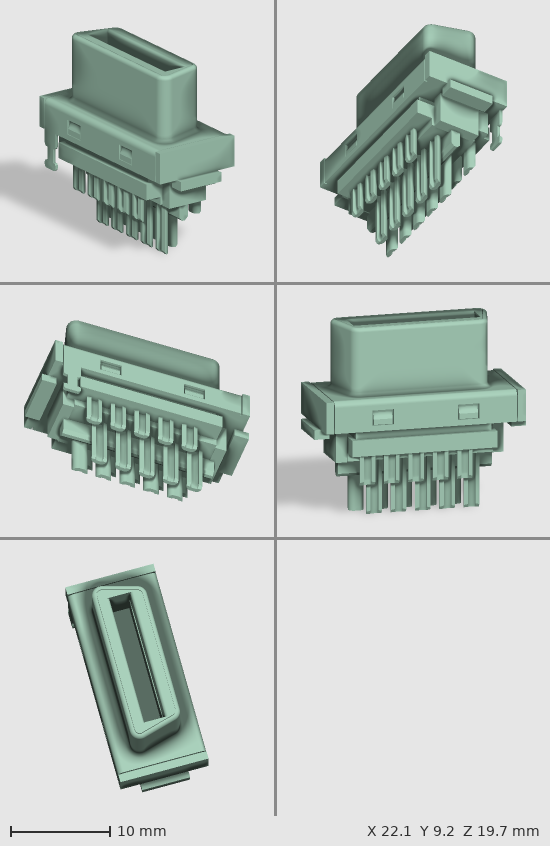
import cadquery as cq
import math

total_height = 19.7
flange_top = 12.7
flange_bottom = 9.41
plate_top = 8.48
plate_bottom = 6.8
base_bottom = 5.94
leg_bottom = 5.8
rail_bottom = 3.88
short_pin_bottom = 3.52
long_pin_bottom = 0.0

overall_length = 22.15
flange_width = 9.2
shell_length = 19.05
shell_thickness = 0.3
shell_edge_radius = 0.6
core_length = 19.27
core_width = flange_width - 2 * shell_thickness
core_edge_radius = 0.4
end_plate_thickness = 0.8

hood_corner_radius = 1.0
hood_front_half_length = 7.15
hood_back_half_length = 6.2
hood_half_width = 1.73
hood_edge_radius = 0.4
hood_lip = 0.05
hood_center_y = 0.02
groove_width = 0.07
groove_depth = 0.22
slot_length = 13.33
slot_width = 2.2
slot_edge_radius = 0.3
ledge_depth = 0.09
ledge_top = (flange_top + total_height) / 2

window_spacing = 8.95
window_length = 2.24
window_top = 11.58
window_bottom = 10.01
tooth_length = 1.97
tooth_top = 11.3
tooth_ramp_end = 10.63
tooth_bottom = 10.08
tooth_projection = 0.29

neck_length = 14.18
neck_width = 7.45
plate_length = 15.2
plate_width = 8.5
base_width = 5.0
leg_thickness = 1.15
leg_width = 4.52
tab_length = (overall_length - shell_length) / 2
tab_thickness = 1.0
key_front = -3.59
key_back = -2.37
key_inner_x = -7.18
key_outer_x = -8.45
rail_length = 16.13
rail_width = 1.02
rail_chamfer = 0.33

clip_width = 1.82
clip_neck_width = 1.0
clip_neck_top = 7.69
clip_neck_bottom = 6.2
clip_bottom = 5.38
clip_corner_radius = 0.29
clip_foot_top_radius = 0.2
clip_center_x = (clip_width - shell_length) / 2
clip_neck_x = -8.57

pin_pitch = 2.55
pins_per_row = 5
row_stagger = pin_pitch / 4
outer_row_back = 2.6
inner_row_back = 0.58
pin_width = 1.62
pin_half_width = pin_width / 2
pin_depth = 0.75
pin_back_radius = 0.58
pin_side_depth = 0.66
pin_groove_half_width = 0.4
pin_groove_floor = 0.38
pin_groove_radius = 0.2
pin_tip_run = 0.29
pin_tip_rise = 0.4


def box(x_min, x_max, y_min, y_max, z_min, z_max):
    """Box between opposite corners."""
    block = cq.Workplane("XY").box(x_max - x_min, y_max - y_min, z_max - z_min, centered=False)
    return block.translate((x_min, y_min, z_min))


def centered_box(length, width, z_min, z_max):
    return box(-length / 2, length / 2, -width / 2, width / 2, z_min, z_max)


def both_ends(shape):
    """The shape together with its mirror image at the other end of the connector."""
    return shape.union(shape.mirror("YZ"))


def flange():
    shell = centered_box(shell_length, flange_width, flange_bottom, flange_top)
    shell = shell.edges("|X and >Z").fillet(shell_edge_radius)
    core = centered_box(core_length, core_width, flange_bottom, flange_top - shell_thickness)
    core = core.edges("|X and >Z").fillet(core_edge_radius)
    end_plate = box(
        core_length / 2,
        core_length / 2 + end_plate_thickness,
        -flange_width / 2,
        flange_width / 2,
        flange_bottom,
        flange_top,
    )
    return shell.union(core).union(both_ends(end_plate))


def hood_outline(z, offset):
    """Trapezoid through the corner centres, grown outwards with round corners."""
    corners = [
        (-hood_front_half_length, -hood_half_width),
        (hood_front_half_length, -hood_half_width),
        (hood_back_half_length, hood_half_width),
        (-hood_back_half_length, hood_half_width),
    ]
    plane = cq.Workplane("XY").workplane(offset=z).center(0, hood_center_y)
    return plane.polyline(corners).close().offset2D(offset)


def flange_with_hood():
    hood = hood_outline(flange_bottom, hood_corner_radius).extrude(total_height - flange_bottom)
    hood = hood.faces(">Z").edges().fillet(hood_edge_radius)
    body = flange().union(hood)
    root_margin = hood_edge_radius / 2
    reach = hood_corner_radius + hood_edge_radius
    root = cq.selectors.BoxSelector(
        (-hood_front_half_length - reach, -hood_half_width - reach, flange_top - root_margin),
        (hood_front_half_length + reach, hood_half_width + reach, flange_top + root_margin),
    )
    body = body.edges(root).fillet(hood_edge_radius)

    return body.cut(rim_groove()).cut(slot())


def rim_groove():
    """Narrow gap in the top face between the hood shell and the insulator inside it."""
    outer_offset = hood_corner_radius - hood_edge_radius - hood_lip
    bottom = total_height - groove_depth
    outer = hood_outline(bottom, outer_offset).extrude(groove_depth)
    inner = hood_outline(bottom, outer_offset - groove_width).extrude(groove_depth)
    return outer.cut(inner)


def slot():
    """Mating slot with rounded long edges and a low ledge along its back wall."""
    opening = centered_box(slot_length, slot_width, flange_top, total_height)
    mouth_width = slot_width + 2 * slot_edge_radius
    mouth_bottom = total_height - slot_edge_radius
    mouth = centered_box(slot_length, mouth_width, mouth_bottom, total_height)
    for side in (-1, 1):
        round_edge = (
            cq.Workplane("YZ")
            .center(side * mouth_width / 2, mouth_bottom)
            .circle(slot_edge_radius)
            .extrude(slot_length / 2, both=True)
        )
        mouth = mouth.cut(round_edge)
    back = slot_width / 2
    ledge = box(-slot_length / 2, slot_length / 2, back - ledge_depth, back, flange_top, ledge_top)
    return opening.union(mouth).cut(ledge).translate((0, hood_center_y, 0))


def window(center_x):
    return box(
        center_x - window_length / 2,
        center_x + window_length / 2,
        -flange_width / 2,
        -core_width / 2,
        window_bottom,
        window_top,
    )


def tooth(center_x):
    """Latch tooth: ramped above, upright below."""
    root_y = -core_width / 2
    tip_y = root_y - tooth_projection
    profile = [(root_y, tooth_bottom), (tip_y, tooth_bottom), (tip_y, tooth_ramp_end), (root_y, tooth_top)]
    return (
        cq.Workplane("YZ")
        .workplane(offset=center_x - tooth_length / 2)
        .polyline(profile)
        .close()
        .extrude(tooth_length)
    )


def add_latches(body):
    """Two latch windows on the front and two on the back."""
    for side in (-1, 1):
        center_x = side * window_spacing / 2
        opening = window(center_x)
        latch = tooth(center_x)
        body = body.cut(opening).cut(opening.mirror("XZ"))
        body = body.union(latch).union(latch.mirror("XZ"))
    return body


def insulator():
    leg_outer_x = plate_length / 2 + leg_thickness
    neck = centered_box(neck_length, neck_width, plate_top, flange_bottom)
    plate = centered_box(plate_length, plate_width, plate_bottom, plate_top)
    base = centered_box(plate_length, base_width, base_bottom, plate_bottom)
    leg = box(plate_length / 2, leg_outer_x, -leg_width / 2, leg_width / 2, leg_bottom, flange_bottom)
    tab = box(
        shell_length / 2,
        shell_length / 2 + tab_length,
        -base_width / 2,
        base_width / 2,
        flange_bottom - tab_thickness,
        flange_bottom,
    )
    key = box(key_outer_x, key_inner_x, key_front, key_back, plate_bottom, flange_bottom)
    rail = centered_box(rail_length, rail_width, rail_bottom, base_bottom)
    rail = rail.edges("|X and <Z").chamfer(rail_chamfer)
    body = neck.union(plate).union(base).union(both_ends(leg)).union(both_ends(tab))
    return body.union(key).union(rail)


def clip():
    """Flat clip hanging from the front wall, with a narrow neck above its foot."""
    back_y = -core_width / 2

    def blade(center_x, width, z_min, z_max):
        return box(center_x - width / 2, center_x + width / 2, -flange_width / 2, back_y, z_min, z_max)

    shoulder = blade(clip_center_x, clip_width, clip_neck_top, flange_bottom)
    shoulder = shoulder.edges("|Y and <Z").fillet(clip_corner_radius)
    neck = blade(clip_neck_x, clip_neck_width, clip_bottom, flange_bottom)
    foot = blade(clip_center_x, clip_width, clip_bottom, clip_neck_bottom)
    foot = foot.edges("|Y and <Z").fillet(clip_corner_radius)
    foot = foot.edges("|Y and >Z").fillet(clip_foot_top_radius)
    return shoulder.union(neck).union(foot)


def pin(top, bottom):
    """Grooved pin with its round back on y = 0 and its open side towards -Y."""
    back_flat = pin_half_width - pin_back_radius
    floor_flat = pin_groove_half_width - pin_groove_radius
    bend = math.sqrt(0.5)
    back_arc = back_flat + pin_back_radius * bend
    back_arc_depth = pin_back_radius * (1 - bend)
    groove_arc = floor_flat + pin_groove_radius * bend
    groove_arc_depth = pin_groove_floor + pin_groove_radius * (1 - bend)
    groove_side_depth = pin_groove_floor + pin_groove_radius
    body = (
        cq.Workplane("XY")
        .workplane(offset=bottom)
        .moveTo(-back_flat, 0)
        .lineTo(back_flat, 0)
        .threePointArc((back_arc, -back_arc_depth), (pin_half_width, -pin_back_radius))
        .lineTo(pin_half_width, -pin_side_depth)
        .lineTo(pin_groove_half_width, -pin_depth)
        .lineTo(pin_groove_half_width, -groove_side_depth)
        .threePointArc((groove_arc, -groove_arc_depth), (floor_flat, -pin_groove_floor))
        .lineTo(-floor_flat, -pin_groove_floor)
        .threePointArc((-groove_arc, -groove_arc_depth), (-pin_groove_half_width, -groove_side_depth))
        .lineTo(-pin_groove_half_width, -pin_depth)
        .lineTo(-pin_half_width, -pin_side_depth)
        .lineTo(-pin_half_width, -pin_back_radius)
        .threePointArc((-back_arc, -back_arc_depth), (-back_flat, 0))
        .close()
        .extrude(top - bottom)
    )
    bevel_top = (-pin_depth, bottom + pin_tip_rise)
    bevel_back = (pin_tip_run - pin_depth, bottom)
    tip_bevel = (
        cq.Workplane("YZ")
        .polyline([(-pin_depth, bottom), bevel_back, bevel_top])
        .close()
        .extrude(pin_half_width, both=True)
    )
    return body.cut(tip_bevel)


def pin_row(top, bottom, back_distance, stagger):
    """Row of pins at the front of the connector, open towards -Y."""
    row = cq.Workplane("XY")
    for index in range(pins_per_row):
        x = (index - (pins_per_row - 1) / 2) * pin_pitch + stagger
        row = row.union(pin(top, bottom).translate((x, -back_distance, 0)))
    return row


def pins():
    """Two staggered rows at the front; turned half round they give the two rows at the back."""
    outer = pin_row(plate_bottom, short_pin_bottom, outer_row_back, -row_stagger)
    inner = pin_row(base_bottom, long_pin_bottom, inner_row_back, row_stagger)
    front = outer.union(inner)
    return front.union(front.rotate((0, 0, 0), (0, 0, 1), 180))


result = add_latches(flange_with_hood()).union(insulator()).union(clip()).union(pins())